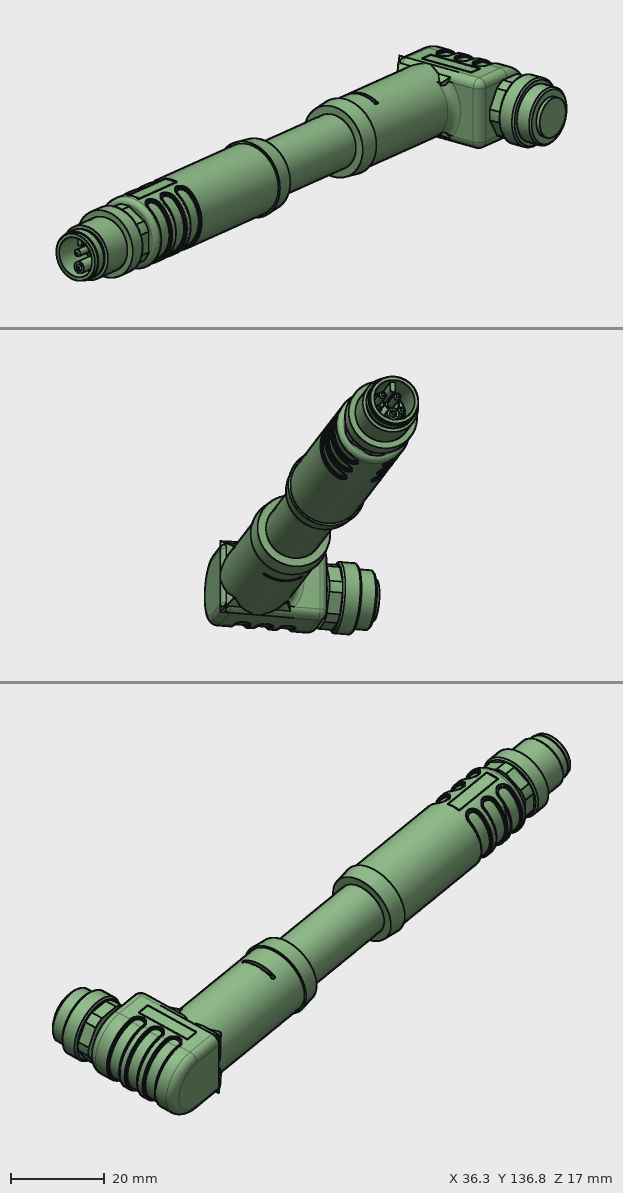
import cadquery as cq
import math

BODY_DIA = 16.0
BODY_R = BODY_DIA / 2
LENGTH = 136.8
CABLE_DIA = 12.3
NECK_DIA = 9.5
PLUG_RING_DIA = 15.0
SOCKET_RING_DIA = 15.3
RING_CHAMFER = 0.4
NUT_FLATS = 13.1
NUT_CORNER_DIA = 14.0
COLLAR_DIA = 17.0
COLLAR_LENGTH = 4.1
GROOVE_DEPTH = 0.5
GROOVE_EDGE = 0.4
LABEL_DEPTH = 0.1

LIP_END = 1.0
LIP_DIA = 10.5
SPIGOT_END = 3.0
SPIGOT_DIA = 11.0
RELIEF_WIDTH = 0.4
RELIEF_DIA = 10.5
PLUG_BARREL_DIA = 12.2
PLUG_RING_START = 10.1
PLUG_NUT_START = 14.0
PLUG_NECK_START = 16.8
PLUG_BODY_START = 17.7
PLUG_BODY_ROUND = 1.2
PLUG_COLLAR_START = 59.5
PLUG_GRIP_WIDTH = 3.8
PLUG_GRIP_STATIONS = (21.2, 26.3, 31.3)
PLUG_GRIP_END = 2.7
PLUG_LABEL_WIDTH = 3.1
PLUG_LABEL_START = 19.8
PLUG_LABEL_END = 32.8

BORE_DIA = 8.9
BORE_DEPTH = 8.5
PIN_DIA = 1.5
PIN_TIP_CHAMFER = 0.4
PIN_CIRCLE_R = 2.7
PIN_COUNT = 5
PIN_RECESS = 3.5
EARTH_PIN_ANGLE = -90
EARTH_BOSS_DIA = 2.6
EARTH_BOSS_RECESS = 1.2
EARTH_PIN_RECESS = 0.8
WELL_DIA = 3.1
WELL_DEPTH = 1.0
KEY_WIDTH = 1.1
KEY_NOSE_R = 2.7
KEY_RECESS = 1.4

SOCKET_COLLAR_END = 92.6
SOCKET_Y = LENGTH - BODY_R
HEAD_BOTTOM = 119.6
HEAD_END = 15.3
HEAD_ROUND = 1.9
SOCKET_NUT_START = 16.1
SOCKET_RING_START = 19.0
SOCKET_RING_END = 23.1
SOCKET_BARREL_END = 26.8
SOCKET_BARREL_DIA = 12.9
SOCKET_BARREL_CHAMFER = 0.4
SOCKET_TIP_END = 27.8
SOCKET_TIP_DIA = 8.9
HEAD_GRIP_WIDTH = 3.5
HEAD_GRIP_PITCH = 4.9
HEAD_GRIP_MIDDLE = 3.5
HEAD_GRIP_END = 126.7
HEAD_LABEL_BOTTOM = 123.0
HEAD_LABEL_TOP = 126.0
HEAD_LABEL_LENGTH = 13.4
SHOULDER_START = 118.1
SHOULDER_END = 121.4
SHOULDER_TAPER = 32.0
FLARE_R = 1.9
MARK_START = 97.8
MARK_WIDTH = 0.8
MARK_DEPTH = 1.2


def y_rod(dia, start, end):
    """Cylinder on the main axis."""
    return cq.Workplane("XZ", origin=(0, start, 0)).circle(dia / 2).extrude(start - end)


def x_rod(dia, start, end):
    """Cylinder on the socket axis."""
    plane = cq.Workplane("YZ", origin=(start, SOCKET_Y, 0))
    return plane.circle(dia / 2).extrude(end - start)


def collar(wide_y, narrow_y):
    """Cone ring on the main axis, widest where it meets the body."""
    outline = [(0, wide_y), (COLLAR_DIA / 2, wide_y), (BODY_R, narrow_y), (0, narrow_y)]
    return cq.Workplane("XY").polyline(outline).close().revolve(360, (0, 0), (0, 1))


def nut(plane, length):
    """Hexagon with its corners turned round."""
    hexagon_dia = NUT_FLATS / math.cos(math.pi / 6)
    hexagon = plane.polygon(6, hexagon_dia).extrude(length)
    return hexagon.intersect(plane.circle(NUT_CORNER_DIA / 2).extrude(length))


def plug_shell():
    """Straight plug: body, neck, nut, ring and stepped barrel."""
    body = y_rod(BODY_DIA, PLUG_BODY_START, PLUG_COLLAR_START).faces("<Y").edges().fillet(PLUG_BODY_ROUND)
    ring = y_rod(PLUG_RING_DIA, PLUG_RING_START, PLUG_NUT_START).faces(">Y").chamfer(RING_CHAMFER)
    nut_plane = cq.Workplane("XZ", origin=(0, PLUG_NECK_START, 0)).transformed(rotate=(0, 0, 30))
    relief_end = SPIGOT_END + RELIEF_WIDTH
    shell = body.union(collar(PLUG_COLLAR_START, PLUG_COLLAR_START + COLLAR_LENGTH))
    shell = shell.union(y_rod(NECK_DIA, PLUG_NECK_START, PLUG_BODY_START))
    shell = shell.union(nut(nut_plane, PLUG_NECK_START - PLUG_NUT_START))
    shell = shell.union(ring)
    shell = shell.union(y_rod(PLUG_BARREL_DIA, relief_end, PLUG_RING_START))
    shell = shell.union(y_rod(RELIEF_DIA, SPIGOT_END, relief_end))
    shell = shell.union(y_rod(SPIGOT_DIA, LIP_END, SPIGOT_END))
    return shell.union(y_rod(LIP_DIA, 0, LIP_END))


def plug_grips():
    """Three round-ended grip grooves on each side, with stepped walls and a floor that follows the body."""
    depth_steps = ((BODY_R - GROOVE_DEPTH, PLUG_GRIP_WIDTH - 2 * GROOVE_EDGE),
                   (BODY_R - GROOVE_DEPTH / 2, PLUG_GRIP_WIDTH))
    reach = BODY_DIA
    grips = cq.Workplane("XY")
    for floor_r, width in depth_steps:
        inner = PLUG_GRIP_END + (PLUG_GRIP_WIDTH - width) / 2
        centres = [(side * (inner + reach / 2), y) for side in (-1, 1) for y in PLUG_GRIP_STATIONS]
        slots = cq.Workplane("XY", origin=(0, 0, -BODY_R)).pushPoints(centres)
        slots = slots.slot2D(reach, width).extrude(BODY_DIA)
        core = y_rod(2 * floor_r, PLUG_BODY_START, PLUG_COLLAR_START)
        grips = grips.add(slots.cut(core))
    return grips.combine()


def plug_label():
    """Flat label recess on the top of the plug body."""
    width = PLUG_LABEL_WIDTH
    length = PLUG_LABEL_END - PLUG_LABEL_START
    floor_z = math.sqrt(BODY_R**2 - (width / 2) ** 2) - LABEL_DEPTH
    middle = (PLUG_LABEL_START + PLUG_LABEL_END) / 2
    return cq.Workplane("XY", origin=(0, middle, floor_z)).rect(width, length).extrude(BODY_R)


def contact_rod(angle, dia, recess):
    """Round rod on the contact circle, from the bottom of the wells to `recess` below the plug tip."""
    x = PIN_CIRCLE_R * math.cos(math.radians(angle))
    z = PIN_CIRCLE_R * math.sin(math.radians(angle))
    root_y = BORE_DEPTH + WELL_DEPTH
    return cq.Workplane("XZ", origin=(0, root_y, 0)).center(x, z).circle(dia / 2).extrude(root_y - recess)


def contact_pin(angle, recess):
    """Contact pin with a chamfered tip."""
    return contact_rod(angle, PIN_DIA, recess).faces("<Y").chamfer(PIN_TIP_CHAMFER)


def contact_wells():
    """Round wells around the pins in the floor of the bore."""
    wells = cq.Workplane("XZ", origin=(0, BORE_DEPTH + WELL_DEPTH, 0))
    wells = wells.polarArray(PIN_CIRCLE_R, EARTH_PIN_ANGLE, 360, PIN_COUNT)
    return wells.circle(WELL_DIA / 2).extrude(WELL_DEPTH)


def coding_key():
    """Round-nosed coding key on the top of the bore wall."""
    length = BORE_DEPTH - KEY_RECESS
    wall_r = (BORE_DIA / 2 + LIP_DIA / 2) / 2
    plane = cq.Workplane("XZ", origin=(0, BORE_DEPTH, 0))
    nose = plane.center(0, KEY_NOSE_R).circle(KEY_WIDTH / 2).extrude(length)
    web = plane.center(0, (KEY_NOSE_R + wall_r) / 2).rect(KEY_WIDTH, wall_r - KEY_NOSE_R).extrude(length)
    return nose.union(web)


def head_block(inset):
    """Angled head, flat towards the cable and half round at the back, with `inset` taken off its sides."""
    radius = BODY_R - inset
    outline = cq.Workplane("YZ", origin=(inset - BODY_R, 0, 0)).moveTo(HEAD_BOTTOM, -radius)
    outline = outline.lineTo(SOCKET_Y, -radius).threePointArc((SOCKET_Y + radius, 0), (SOCKET_Y, radius))
    return outline.lineTo(HEAD_BOTTOM, radius).close().extrude(BODY_R + HEAD_END - 2 * inset)


def head_grips():
    """Three grip grooves wrapped over the back of the head, with stepped walls."""
    depth_steps = ((GROOVE_DEPTH, HEAD_GRIP_WIDTH - 2 * GROOVE_EDGE), (GROOVE_DEPTH / 2, HEAD_GRIP_WIDTH))
    reach = BODY_DIA
    grips = cq.Workplane("XY")
    for depth, width in depth_steps:
        end_y = HEAD_GRIP_END + (HEAD_GRIP_WIDTH - width) / 2
        centres = [(HEAD_GRIP_MIDDLE + i * HEAD_GRIP_PITCH, end_y + reach / 2) for i in (-1, 0, 1)]
        slots = cq.Workplane("XY", origin=(0, 0, -BODY_R)).pushPoints(centres)
        slots = slots.slot2D(reach, width, 90).extrude(BODY_DIA)
        grips = grips.add(slots.cut(head_block(depth)))
    return grips.combine()


def head_label():
    """Shallow label recess on the top of the head."""
    middle = (HEAD_LABEL_BOTTOM + HEAD_LABEL_TOP) / 2
    plane = cq.Workplane("XY", origin=(HEAD_GRIP_MIDDLE, middle, BODY_R - LABEL_DEPTH))
    return plane.rect(HEAD_LABEL_LENGTH, HEAD_LABEL_TOP - HEAD_LABEL_BOTTOM).extrude(LABEL_DEPTH)


def shoulder():
    """Tapered square that blends the head into the round body."""
    plane = cq.Workplane("XZ", origin=(0, SHOULDER_END, 0))
    return plane.rect(BODY_DIA, BODY_DIA).extrude(SHOULDER_END - SHOULDER_START, taper=SHOULDER_TAPER)


def flare():
    """Concave round between the body and the flat bottom of the head, on the socket side only."""
    start_y = HEAD_BOTTOM - FLARE_R
    rim_r = BODY_R + FLARE_R
    sag = FLARE_R * math.sqrt(0.5)
    outline = cq.Workplane("XY").moveTo(0, start_y).lineTo(BODY_R, start_y)
    outline = outline.threePointArc((rim_r - sag, start_y + sag), (rim_r, HEAD_BOTTOM))
    ring = outline.lineTo(0, HEAD_BOTTOM).close().revolve(360, (0, 0), (0, 1))
    flat_width = BODY_DIA - 2 * HEAD_ROUND
    side = cq.Workplane("XY", origin=(rim_r / 2, HEAD_BOTTOM, 0)).box(rim_r, 2 * FLARE_R, flat_width)
    return ring.intersect(side)


def socket_shell():
    """Angled socket: round body, head, neck, nut, ring and barrel."""
    head = head_block(0).faces("<X or >X or <Y").edges().fillet(HEAD_ROUND)
    nut_plane = cq.Workplane("YZ", origin=(SOCKET_NUT_START, SOCKET_Y, 0))
    ring = x_rod(SOCKET_RING_DIA, SOCKET_RING_START, SOCKET_RING_END).faces("<X or >X").chamfer(RING_CHAMFER)
    barrel = x_rod(SOCKET_BARREL_DIA, SOCKET_RING_END, SOCKET_BARREL_END)
    barrel = barrel.faces(">X").chamfer(SOCKET_BARREL_CHAMFER)
    shell = head.union(y_rod(BODY_DIA, SOCKET_COLLAR_END, SOCKET_Y))
    shell = shell.union(shoulder()).union(flare())
    shell = shell.union(collar(SOCKET_COLLAR_END, SOCKET_COLLAR_END - COLLAR_LENGTH))
    shell = shell.union(x_rod(NECK_DIA, 0, SOCKET_NUT_START))
    shell = shell.union(nut(nut_plane, SOCKET_RING_START - SOCKET_NUT_START))
    shell = shell.union(ring).union(barrel)
    return shell.union(x_rod(SOCKET_TIP_DIA, SOCKET_BARREL_END, SOCKET_TIP_END))


def body_marks():
    """Straight cuts across the top and bottom of the socket body."""
    middle = MARK_START + MARK_WIDTH / 2
    floor_z = BODY_R - MARK_DEPTH
    mark = cq.Workplane("XY", origin=(0, middle, floor_z)).rect(BODY_DIA, MARK_WIDTH).extrude(BODY_R)
    return mark.union(mark.mirror("XY"))


plug = plug_shell().cut(plug_grips()).cut(plug_label())
plug = plug.cut(y_rod(BORE_DIA, 0, BORE_DEPTH)).cut(contact_wells()).union(coding_key())
plug = plug.union(contact_rod(EARTH_PIN_ANGLE, EARTH_BOSS_DIA, EARTH_BOSS_RECESS))
plug = plug.union(contact_pin(EARTH_PIN_ANGLE, EARTH_PIN_RECESS))
for number in range(1, PIN_COUNT):
    plug = plug.union(contact_pin(EARTH_PIN_ANGLE + number * 360 / PIN_COUNT, PIN_RECESS))

socket = socket_shell().cut(head_grips()).cut(head_label()).cut(body_marks())

cable = y_rod(CABLE_DIA, PLUG_COLLAR_START, SOCKET_COLLAR_END)
result = plug.union(cable).union(socket)